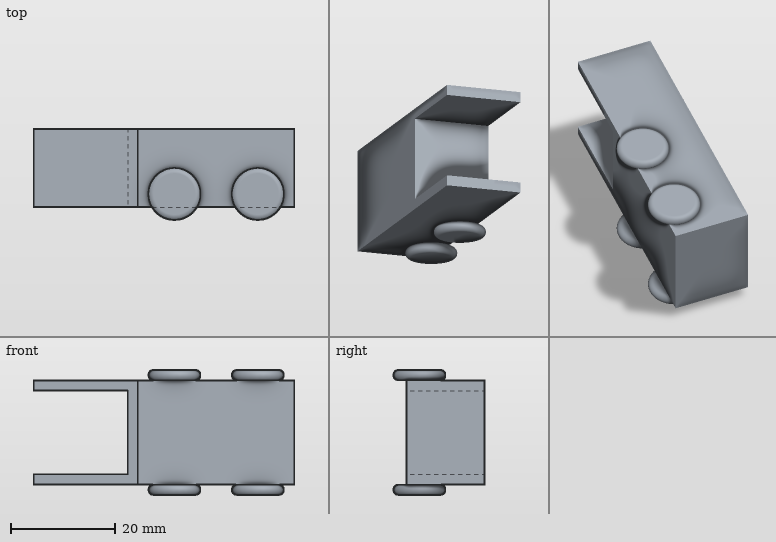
import cadquery as cq

total_length = 50.0
depth = 15.0
height = 20.0

fork_length = 20.0
wall = 2.0
body_length = total_length - fork_length

wheel_radius = 5.0
wheel_thickness = 2.0
rim_radius = wheel_thickness / 2
flat_radius = wheel_radius - rim_radius
wheel_y = 2.5
wheel_end_gap = 7.0
wheel_x_positions = (fork_length + wheel_end_gap, total_length - wheel_end_gap)
wheel_base_heights = (-wheel_thickness, height)


def make_body():
    """Plain rectangular block behind the fork."""
    return cq.Workplane("XY").box(body_length, depth, height, centered=False).translate((fork_length, 0, 0))


def make_fork():
    """Two flat arms joined by a web that touches the body."""
    blank = cq.Workplane("XY").box(fork_length, depth, height, centered=False)
    opening = (
        cq.Workplane("XY")
        .box(fork_length - wall, depth, height - 2 * wall, centered=False)
        .translate((0, 0, wall))
    )
    return blank.cut(opening)


def make_wheel(x, base_z):
    """Disc with a semicircular rim, revolved about its vertical axis."""
    return (
        cq.Workplane("XZ")
        .lineTo(flat_radius, 0)
        .threePointArc((wheel_radius, rim_radius), (flat_radius, wheel_thickness))
        .lineTo(0, wheel_thickness)
        .close()
        .revolve(360, (0, 0, 0), (0, 1, 0))
        .translate((x, wheel_y, base_z))
    )


body = make_body()
fork = make_fork()
wheels = [make_wheel(x, base_z).val() for x in wheel_x_positions for base_z in wheel_base_heights]

result = cq.Compound.makeCompound([body.val(), fork.val(), *wheels])